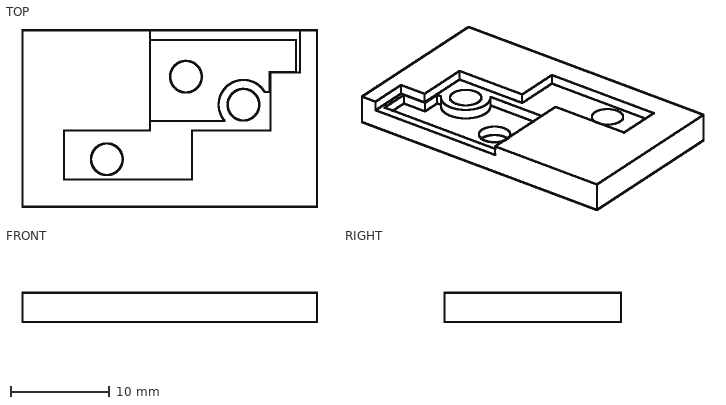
import cadquery as cq

PLATE_LENGTH = 30.0
PLATE_WIDTH = 18.0
PLATE_THICKNESS = 3.0

STEP_DEPTH = 1.0
SHELF_Z = PLATE_THICKNESS - STEP_DEPTH
CAVITY_Z = SHELF_Z - STEP_DEPTH

ARM_LEFT = 4.25
ARM_RIGHT = 17.25
ARM_FRONT = 2.8
BAY_LEFT = 13.0
BAY_RIGHT = 25.25
BAY_FRONT = 7.8
NOTCH_RIGHT = 28.25
NOTCH_FRONT = 13.7

BACK_LEDGE_WIDTH = 1.0
CAVITY_BACK = PLATE_WIDTH - BACK_LEDGE_WIDTH
CAVITY_FRONT = 8.75
CAVITY_RIGHT = 27.85
CAVITY_STEP_X = 25.15
CAVITY_STEP_Y = 13.75

BOSS_CENTER = (22.5, 10.4)
BOSS_DIAMETER = 5.05
BOSS_WEB_BACK = 11.7

HOLE_DIAMETER = 3.2
HOLE_CENTERS = [(8.6, 4.85), (16.65, 13.25), BOSS_CENTER]


def prism(points, bottom, top):
    """Extrude a closed outline between two heights."""
    return cq.Workplane("XY").workplane(offset=bottom).polyline(points).close().extrude(top - bottom)


def rectangle(left, front, right, back):
    """Corner points of an axis-aligned rectangle."""
    return [(left, front), (right, front), (right, back), (left, back)]


def cylinder(center, diameter, bottom, top):
    """Upright cylinder between two heights."""
    base = cq.Workplane("XY").workplane(offset=bottom).center(*center)
    return base.circle(diameter / 2).extrude(top - bottom)


def shallow_recess():
    """Volume of the stepped recess down to the shelf."""
    outline = [
        (ARM_LEFT, ARM_FRONT),
        (ARM_RIGHT, ARM_FRONT),
        (ARM_RIGHT, BAY_FRONT),
        (BAY_RIGHT, BAY_FRONT),
        (BAY_RIGHT, NOTCH_FRONT),
        (NOTCH_RIGHT, NOTCH_FRONT),
        (NOTCH_RIGHT, PLATE_WIDTH),
        (BAY_LEFT, PLATE_WIDTH),
        (BAY_LEFT, BAY_FRONT),
        (ARM_LEFT, BAY_FRONT),
    ]
    return prism(outline, SHELF_Z, PLATE_THICKNESS)


def deep_cavity():
    """Volume below the shelf, less the boss and the web that ties it to the wall."""
    outline = [
        (BAY_LEFT, CAVITY_FRONT),
        (CAVITY_STEP_X, CAVITY_FRONT),
        (CAVITY_STEP_X, CAVITY_STEP_Y),
        (CAVITY_RIGHT, CAVITY_STEP_Y),
        (CAVITY_RIGHT, CAVITY_BACK),
        (BAY_LEFT, CAVITY_BACK),
    ]
    boss = cylinder(BOSS_CENTER, BOSS_DIAMETER, CAVITY_Z, SHELF_Z)
    web_outline = rectangle(BOSS_CENTER[0], CAVITY_FRONT, CAVITY_STEP_X, BOSS_WEB_BACK)
    web = prism(web_outline, CAVITY_Z, SHELF_Z)
    return prism(outline, CAVITY_Z, SHELF_Z).cut(boss).cut(web)


plate = prism(rectangle(0, 0, PLATE_LENGTH, PLATE_WIDTH), 0, PLATE_THICKNESS)
result = plate.cut(shallow_recess()).cut(deep_cavity())
for hole_center in HOLE_CENTERS:
    result = result.cut(cylinder(hole_center, HOLE_DIAMETER, 0, PLATE_THICKNESS))